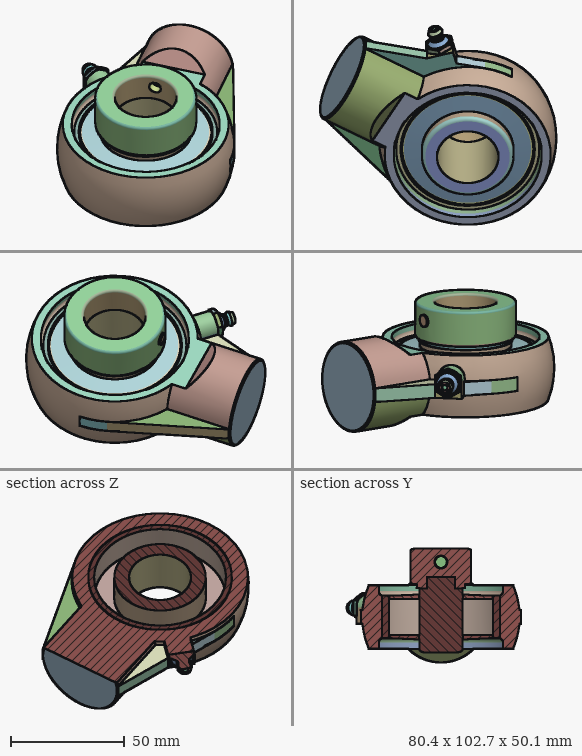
import cadquery as cq
import math


ball_radius = 39.0
housing_height = 27.9
opening_diameter = 65.0
seat_diameter = 62.9
opening_fillet = 2.1
stem_radius = 20.0
stem_end = 63.7
stem_chamfer = 0.6
shoulder_start = 40.1
web_thickness = 6.2

grease_angle = 135.0
grease_height = 4.0
boss_radius = 6.0
boss_reach = 46.6
hexagon_across_flats = 11.3
hexagon_thickness = 2.5
hexagon_face_radius = 5.3
hexagon_chamfer_depth = 0.5
cone_base_radius = 4.9
cone_top_radius = 3.0
neck_radius = 2.7
neck_flare_length = 0.8
neck_length = 0.8
head_radius = 3.3
head_back_length = 1.5
head_front_length = 2.0
head_tip_radius = 2.4
check_ball_radius = 1.2
check_ball_height = 0.4

outer_ring_width = 18.9
seal_diameter = 57.7
seal_groove = 0.6
seal_rim_diameter = 55.9
seal_rise = 0.5
seal_thickness = 1.6
inner_ring_diameter = 40.4
inner_ring_bottom = -15.8
inner_ring_fillet = 1.6
bore_diameter = 27.0

collar_diameter = 44.5
collar_top = 30.1
collar_bottom = 14.3
collar_fillet = 1.0
collar_lip_diameter = 41.4
collar_lip_bottom = 12.6
collar_recess_diameter = 37.7
collar_recess_top = 17.7
screw_diameter = 5.3
screw_height = 24.1
screw_end = 22.9
screw_length = 5.1


def disc(diameter, bottom, top):
    """Solid cylinder on the bearing axis between two heights."""
    return cq.Workplane("XY").workplane(offset=bottom).circle(diameter / 2).extrude(top - bottom)


def along_grease_line(solid):
    """Turn a shape built along +X at Z = 0 onto the line of the grease nipple."""
    return solid.rotate((0, 0, 0), (0, 0, 1), grease_angle).translate((0, 0, grease_height))


def make_stem():
    """Round stem, narrowed by 45 degree shoulders to the height of the housing."""
    half_height = housing_height / 2
    shoulder_end = shoulder_start + stem_radius - half_height
    stem = cq.Workplane("XZ").circle(stem_radius).extrude(-stem_end)
    stem = stem.faces(">Y").chamfer(stem_chamfer)
    upper_side = [
        (0, 0),
        (0, half_height),
        (shoulder_start, half_height),
        (shoulder_end, stem_radius),
        (stem_end, stem_radius),
        (stem_end, 0),
    ]
    envelope = cq.Workplane("YZ").polyline(upper_side).close().extrude(stem_radius, both=True)
    return stem.intersect(envelope.union(envelope.mirror("XY")))


def make_web():
    """Flat web whose straight sides run from the stem end, tangent to the round of the housing."""
    corner_y = stem_end - stem_chamfer
    corner_distance = math.hypot(stem_radius, corner_y)
    tangent_angle = math.atan2(corner_y, stem_radius) - math.acos(ball_radius / corner_distance)
    tangent_x = ball_radius * math.cos(tangent_angle)
    tangent_y = ball_radius * math.sin(tangent_angle)
    mid_x = ball_radius * math.cos(tangent_angle / 2)
    mid_y = ball_radius * math.sin(tangent_angle / 2)
    return (
        cq.Workplane("XY")
        .moveTo(ball_radius, 0)
        .threePointArc((mid_x, mid_y), (tangent_x, tangent_y))
        .lineTo(stem_radius, corner_y)
        .lineTo(-stem_radius, corner_y)
        .lineTo(-tangent_x, tangent_y)
        .threePointArc((-mid_x, mid_y), (-ball_radius, 0))
        .close()
        .extrude(web_thickness / 2, both=True)
    )


def make_grease_boss():
    """Boss with a round top and straight sides down to the underside of the web."""
    depth = grease_height + web_thickness / 2
    boss = (
        cq.Workplane("YZ")
        .moveTo(-boss_radius, -depth)
        .lineTo(boss_radius, -depth)
        .lineTo(boss_radius, 0)
        .threePointArc((0, boss_radius), (-boss_radius, 0))
        .close()
        .extrude(boss_reach)
    )
    return along_grease_line(boss)


def make_upper_opening():
    """Space above the outer ring, with a rounded lower edge that ends at the edge of the ring."""
    ring_face = outer_ring_width / 2
    opening_radius = opening_diameter / 2
    seat_radius = seat_diameter / 2
    centre_x = opening_radius - opening_fillet
    centre_z = ring_face + math.sqrt(opening_fillet**2 - (seat_radius - centre_x) ** 2)
    mid_angle = math.atan2(ring_face - centre_z, seat_radius - centre_x) / 2
    mid_x = centre_x + opening_fillet * math.cos(mid_angle)
    mid_z = centre_z + opening_fillet * math.sin(mid_angle)
    return (
        cq.Workplane("XZ")
        .moveTo(0, ring_face)
        .lineTo(seat_radius, ring_face)
        .threePointArc((mid_x, mid_z), (opening_radius, centre_z))
        .lineTo(opening_radius, housing_height / 2)
        .lineTo(0, housing_height / 2)
        .close()
        .revolve(360, (0, 0, 0), (0, 1, 0))
    )


def make_housing():
    ball = cq.Workplane("XY").sphere(ball_radius)
    slab = disc(2 * ball_radius, -housing_height / 2, housing_height / 2)
    housing = ball.intersect(slab).union(make_stem()).union(make_web()).union(make_grease_boss())
    housing = housing.cut(disc(seat_diameter, -housing_height / 2, housing_height / 2))
    opening = make_upper_opening()
    return housing.cut(opening).cut(opening.mirror("XY"))


def revolve_on_x(outline):
    """Close an outline in the XY plane and turn it round the X axis."""
    return outline.close().revolve(360, (0, 0, 0), (1, 0, 0))


def make_hexagon(face):
    """Hexagon from the boss to the given face, with its outer corners chamfered."""
    across_corners = hexagon_across_flats / math.cos(math.pi / 6)
    corner_radius = across_corners / 2
    blank = cq.Workplane("YZ").polygon(6, across_corners).extrude(face)
    blank = blank.rotate((0, 0, 0), (1, 0, 0), 90)
    chamfered_envelope = [
        (boss_reach, 0),
        (boss_reach, corner_radius),
        (face - hexagon_chamfer_depth, corner_radius),
        (face, hexagon_face_radius),
        (face, 0),
    ]
    return blank.intersect(revolve_on_x(cq.Workplane("XY").polyline(chamfered_envelope)))


def make_nipple():
    """Grease nipple seated on the boss: hexagon, 45 degree cone, neck, head and domed check ball."""
    hexagon_face = boss_reach + hexagon_thickness
    cone_top = hexagon_face + cone_base_radius - cone_top_radius
    neck_start = cone_top + neck_flare_length
    head_start = neck_start + neck_length
    head_widest = head_start + head_back_length
    head_tip = head_widest + head_front_length
    ball_end = head_tip + check_ball_height
    dome_radius = (check_ball_radius**2 + check_ball_height**2) / (2 * check_ball_height)
    dome_mid_y = check_ball_radius / 2
    dome_mid_x = ball_end - dome_radius + math.sqrt(dome_radius**2 - dome_mid_y**2)
    profile = (
        cq.Workplane("XY")
        .moveTo(hexagon_face, 0)
        .lineTo(hexagon_face, cone_base_radius)
        .lineTo(cone_top, cone_top_radius)
        .lineTo(neck_start, neck_radius)
        .lineTo(head_start, neck_radius)
        .lineTo(head_widest, head_radius)
        .lineTo(head_tip, head_tip_radius)
        .lineTo(head_tip, check_ball_radius)
        .threePointArc((dome_mid_x, dome_mid_y), (ball_end, 0))
    )
    return along_grease_line(make_hexagon(hexagon_face).union(revolve_on_x(profile)))


def make_outer_ring():
    """Plain ring with a chamfer round each end of its bore, beside the seals."""
    half_width = outer_ring_width / 2
    ring = disc(seat_diameter, -half_width, half_width)
    ring = ring.cut(disc(seal_diameter, -half_width, half_width))
    return ring.edges(cq.selectors.RadiusNthSelector(0)).chamfer(seal_groove)


def make_upper_seal():
    """Ring with a flat rim and a face that rises towards the inner ring."""
    rim_face = outer_ring_width / 2
    inner_radius = inner_ring_diameter / 2
    section = [
        (inner_radius, rim_face - seal_thickness),
        (seal_diameter / 2, rim_face - seal_thickness),
        (seal_diameter / 2, rim_face),
        (seal_rim_diameter / 2, rim_face),
        (inner_radius, rim_face + seal_rise),
    ]
    return cq.Workplane("XZ").polyline(section).close().revolve(360, (0, 0, 0), (0, 1, 0))


def make_inner_ring():
    """Inner ring with a reduced end that enters the recess of the collar."""
    ring = disc(inner_ring_diameter, inner_ring_bottom, collar_lip_bottom)
    ring = ring.faces("<Z").edges().fillet(inner_ring_fillet)
    ring = ring.union(disc(collar_recess_diameter, collar_lip_bottom, collar_recess_top))
    return ring.cut(disc(bore_diameter, inner_ring_bottom, collar_recess_top))


def make_collar():
    """Collar with rounded edges, a lip and recess below, and a radial hole for the set screw."""
    collar = disc(collar_diameter, collar_bottom, collar_top)
    collar = collar.cut(disc(bore_diameter, collar_bottom, collar_top))
    collar = collar.faces(">Z").edges().fillet(collar_fillet)
    collar = collar.faces("<Z").edges(cq.selectors.RadiusNthSelector(-1)).fillet(collar_fillet)
    collar = collar.union(disc(collar_lip_diameter, collar_lip_bottom, collar_bottom))
    collar = collar.cut(disc(collar_recess_diameter, collar_lip_bottom, collar_recess_top))
    screw_hole = (
        cq.Workplane("XZ", origin=(0, 0, screw_height)).circle(screw_diameter / 2).extrude(-collar_diameter)
    )
    return collar.cut(screw_hole)


def make_set_screw():
    screw_start = screw_end - screw_length
    return (
        cq.Workplane("XZ", origin=(0, screw_start, screw_height))
        .circle(screw_diameter / 2)
        .extrude(-screw_length)
    )


housing = make_housing()
nipple = make_nipple()
outer_ring = make_outer_ring()
upper_seal = make_upper_seal()
seals = [upper_seal, upper_seal.mirror("XY")]
inner_ring = make_inner_ring()
collar = make_collar()
set_screw = make_set_screw()

result = cq.Compound.makeCompound(
    [
        housing.val(),
        nipple.val(),
        outer_ring.val(),
        *[seal.val() for seal in seals],
        inner_ring.val(),
        collar.val(),
        set_screw.val(),
    ]
)